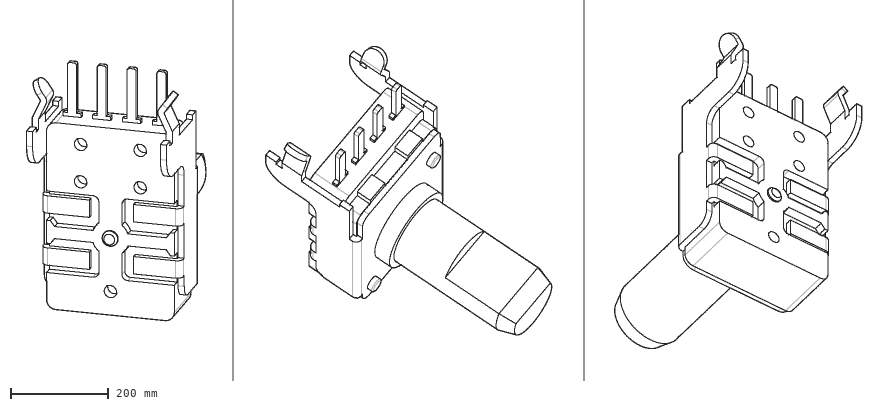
import cadquery as cq
import math


shaft_radius = 76.5
shaft_tip_y = 338.0
flat_start_y = 162.5
flat_height = 38.0
tip_length = 38.0
tip_inset = 12.5
collar_radius = 91.0
collar_length = 38.0

sheet = 13.0

case_half_width = 136.5
case_front_y = -sheet
case_back_y = -135.0
case_bottom_z = -168.0
case_top_z = 240.0
case_corner_radius = 20.0
ledge_y = -46.5
ledge_z = 198.5
ledge_corner_radius = 15.5
ledge_tab_z = 216.0
ledge_tab_inner_x = 39.0
ledge_tab_outer_x = 89.0

hole_radius = 13.0
hole_depth = 25.0
hole_places = [(-64.0, 198.0), (64.0, 198.0), (-64.0, 116.5), (64.0, 116.5), (0, -116.5)]
boss_radius = 16.5
boss_height = 8.5
boss_chamfer = 5.0
pocket_floor_y = -114.0
pocket_inner_x = 24.5
pocket_low_z = 13.0
pocket_high_z = 89.0
pocket_corner_radius = 12.5
pocket_mouth_low_z = 25.0
pocket_mouth_x = 128.5
pocket_slope_x = 119.5
hub_radius = 39.5

wall_outer_x = case_half_width + sheet
plate_half_width = 132.5
plate_bottom_z = -165.0
plate_top_z = 204.0
plate_bottom_radius = 26.5
plate_top_radius = 21.0
wall_bottom_z = -126.5
wall_bend_top_z = 127.5
wall_front_y = -21.0
wall_back_y = -107.5
wall_top_z = 243.5
wall_corner_radius = 27.0
lug_top_z = 254.0
front_lug_back_y = -46.5
rear_lug_front_y = -209.0
wing_end_y = -236.0
wing_bottom_z = 170.5
wing_radius = 50.5
finger_tip_x = 47.0
finger_low_z = 38.0
finger_high_z = 76.0

arm_front_y = -143.5
arm_back_y = -194.0
arm_bend_z = 268.5
arm_waist_x = 132.0
arm_waist_z = 307.0
arm_reach = 38.5
arm_flare = math.radians(34)

post_radius = 15.5
post_height = 14.0
post_edge_radius = 3.0
post_places = [(-101.0, 121.5), (101.0, -121.5)]

pin_pitch = 64.0
pin_count = 4
pin_width = 19.5
pin_front_y = -79.0
pin_thickness = 11.0
pin_top_z = 357.5
pin_tip_radius = 5.0
pin_foot_width = 38.5
pin_foot_height = 8.0


def prism(outline, y_start, y_end):
    """Extrude an XZ outline from y_start down to y_end."""
    return outline.extrude(y_start - y_end).translate((0, y_start, 0))


def block(x_range, y_range, z_range):
    """Box spanning the given ranges."""
    size = [high - low for low, high in (x_range, y_range, z_range)]
    corner = (x_range[0], y_range[0], z_range[0])
    return cq.Workplane("XY").box(*size, centered=False).translate(corner)


def on_both_sides(solid):
    return solid.union(solid.mirror("YZ"))


def make_shaft():
    tip_start_y = shaft_tip_y - tip_length
    tip_radius = shaft_radius - tip_inset
    profile = [
        (0, 0),
        (collar_radius, 0),
        (collar_radius, collar_length),
        (shaft_radius, collar_length),
        (shaft_radius, tip_start_y),
        (tip_radius, shaft_tip_y),
        (0, shaft_tip_y),
    ]
    shaft = cq.Workplane("XY").polyline(profile).close().revolve(360, (0, 0, 0), (0, 1, 0))
    above_flat = [
        (flat_start_y, flat_height),
        (tip_start_y, flat_height),
        (shaft_tip_y, flat_height - tip_inset),
        (shaft_tip_y, shaft_radius),
        (flat_start_y, shaft_radius),
    ]
    cutter = cq.Workplane("YZ").polyline(above_flat).close().extrude(shaft_radius, both=True)
    return shaft.cut(cutter)


def make_case():
    width = (-case_half_width, case_half_width)
    rear = block(width, (case_back_y, ledge_y), (case_bottom_z, case_top_z))
    rear = rear.edges("|Y").fillet(case_corner_radius)
    front = block(width, (ledge_y, case_front_y), (case_bottom_z, ledge_z))
    front = front.edges("|Y and >Z").fillet(ledge_corner_radius)
    front = front.edges("|Y and <Z").fillet(case_corner_radius)
    tab = block(
        (ledge_tab_inner_x, ledge_tab_outer_x),
        (ledge_y, case_front_y),
        (case_bottom_z + case_corner_radius, ledge_tab_z),
    )
    return rear.union(front).union(on_both_sides(tab))


def make_pocket():
    """Pocket of the upper right finger, open at the side of the case."""
    outline = (
        cq.Workplane("XZ")
        .moveTo(case_half_width, pocket_high_z)
        .lineTo(pocket_inner_x + pocket_corner_radius, pocket_high_z)
        .radiusArc((pocket_inner_x, pocket_high_z - pocket_corner_radius), -pocket_corner_radius)
        .lineTo(pocket_inner_x, pocket_low_z)
        .lineTo(pocket_slope_x, pocket_low_z)
        .lineTo(pocket_mouth_x, pocket_mouth_low_z)
        .lineTo(case_half_width, pocket_mouth_low_z)
        .close()
    )
    hub = prism(cq.Workplane("XZ").circle(hub_radius), pocket_floor_y, case_back_y)
    return prism(outline, pocket_floor_y, case_back_y).cut(hub)


def detail_case_back(case):
    pockets = on_both_sides(make_pocket())
    pockets = pockets.union(pockets.mirror("XY"))
    holes = cq.Workplane("XZ").pushPoints(hole_places).circle(hole_radius)
    boss = prism(cq.Workplane("XZ").circle(boss_radius), case_back_y, case_back_y - boss_height)
    boss = boss.faces("<Y").chamfer(boss_chamfer)
    case = case.cut(pockets).cut(prism(holes, case_back_y + hole_depth, case_back_y))
    return case.union(boss)


def make_plate():
    plate = block(
        (-plate_half_width, plate_half_width), (case_front_y, 0), (plate_bottom_z, plate_top_z)
    )
    plate = plate.edges("|Y and >Z").fillet(plate_top_radius)
    plate = plate.edges("|Y and <Z").fillet(plate_bottom_radius)
    bent_band = (
        cq.Workplane("XY")
        .moveTo(-wall_outer_x, case_front_y)
        .radiusArc((-case_half_width, 0), sheet)
        .lineTo(case_half_width, 0)
        .radiusArc((wall_outer_x, case_front_y), sheet)
        .close()
        .extrude(wall_bend_top_z - wall_bottom_z)
        .translate((0, 0, wall_bottom_z))
    )
    return plate.union(bent_band)


def make_posts():
    posts = prism(cq.Workplane("XZ").pushPoints(post_places).circle(post_radius), post_height, 0)
    return posts.faces(">Y").edges().fillet(post_edge_radius)


def make_wall():
    """Flat side wall on the right, with its two lugs and its rear wing."""
    outline = (
        cq.Workplane("YZ")
        .moveTo(case_front_y, wall_bottom_z)
        .lineTo(case_front_y, wall_bend_top_z)
        .lineTo(wall_front_y, wall_bend_top_z)
        .lineTo(wall_front_y, lug_top_z)
        .lineTo(front_lug_back_y, lug_top_z)
        .lineTo(front_lug_back_y, wall_top_z)
        .lineTo(rear_lug_front_y, wall_top_z)
        .lineTo(rear_lug_front_y, lug_top_z)
        .lineTo(wing_end_y, lug_top_z)
        .lineTo(wing_end_y, wing_bottom_z + wing_radius)
        .radiusArc((wing_end_y + wing_radius, wing_bottom_z), -wing_radius)
        .lineTo(wall_back_y - wall_corner_radius, wing_bottom_z)
        .radiusArc((wall_back_y, wing_bottom_z - wall_corner_radius), wall_corner_radius)
        .lineTo(wall_back_y, wall_bottom_z + wall_corner_radius)
        .radiusArc((wall_back_y + wall_corner_radius, wall_bottom_z), -wall_corner_radius)
        .close()
    )
    return outline.extrude(sheet).translate((case_half_width, 0, 0))


def make_finger():
    """Upper right finger, bent around the case onto the pocket floor."""
    outer_y = pocket_floor_y - sheet
    outline = (
        cq.Workplane("XY")
        .moveTo(case_half_width, wall_back_y)
        .lineTo(wall_outer_x, wall_back_y)
        .lineTo(wall_outer_x, pocket_floor_y)
        .radiusArc((case_half_width, outer_y), sheet)
        .lineTo(finger_tip_x, outer_y)
        .lineTo(finger_tip_x, pocket_floor_y)
        .lineTo(case_half_width, pocket_floor_y)
        .close()
    )
    return outline.extrude(finger_high_z - finger_low_z).translate((0, 0, finger_low_z))


def make_arm():
    """Right snap arm: it leans inward to a waist, then flares outward to a round tip."""
    lean = math.atan2(wall_outer_x - arm_waist_x, arm_waist_z - arm_bend_z)
    tip_radius = (arm_front_y - arm_back_y) / 2
    tip_offset = arm_reach - tip_radius

    def across(angle):
        """Step inward through the sheet, where angle is its outward slope from the vertical."""
        return -sheet * math.cos(angle), sheet * math.sin(angle)

    def from_waist(vector):
        return arm_waist_x + vector[0], arm_waist_z + vector[1]

    tip_x = arm_waist_x + tip_offset * math.sin(arm_flare)
    tip_z = arm_waist_z + tip_offset * math.cos(arm_flare)
    flare_step = across(arm_flare)
    outline = (
        cq.Workplane("XZ")
        .moveTo(wall_outer_x, wall_top_z)
        .lineTo(wall_outer_x, arm_bend_z)
        .lineTo(arm_waist_x, arm_waist_z)
        .lineTo(tip_x, tip_z)
        .lineTo(tip_x + flare_step[0], tip_z + flare_step[1])
        .lineTo(*from_waist(flare_step))
        .radiusArc(from_waist(across(-lean)), -sheet)
        .lineTo(case_half_width, arm_bend_z - sheet * math.tan(lean / 2))
        .lineTo(case_half_width, wall_top_z)
        .close()
    )
    tip_plane = cq.Plane(
        origin=(tip_x, (arm_front_y + arm_back_y) / 2, tip_z),
        xDir=(0, 1, 0),
        normal=(flare_step[0], 0, flare_step[1]),
    )
    tip = (
        cq.Workplane(tip_plane)
        .moveTo(-tip_radius, 0)
        .radiusArc((tip_radius, 0), -tip_radius)
        .close()
        .extrude(sheet)
    )
    return prism(outline, arm_front_y, arm_back_y).union(tip)


def make_cover():
    finger = make_finger()
    side = make_wall().union(finger).union(finger.mirror("XY")).union(make_arm())
    return make_plate().union(make_posts()).union(on_both_sides(side))


def make_pin(x):
    depth = (pin_front_y - pin_thickness, pin_front_y)
    half_width = pin_width / 2
    half_foot = pin_foot_width / 2
    blade = block((x - half_width, x + half_width), depth, (case_top_z, pin_top_z))
    blade = blade.edges("|Y and >Z").fillet(pin_tip_radius)
    foot = block((x - half_foot, x + half_foot), depth, (case_top_z, case_top_z + pin_foot_height))
    return blade.union(foot)


result = detail_case_back(make_case()).union(make_cover()).union(make_shaft())
for index in range(pin_count):
    result = result.union(make_pin((index - (pin_count - 1) / 2) * pin_pitch))